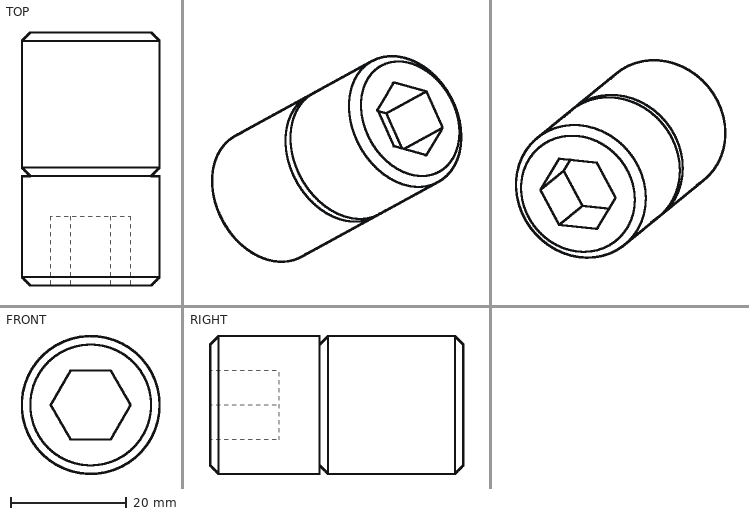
import cadquery as cq
import math

total_length = 44.0
diameter = 24.0
chamfer = 1.5

screw_length = 19.0
socket_across_flats = 12.0
socket_depth = 12.0

plug_length = total_length - screw_length

front_y = -total_length / 2
joint_y = front_y + screw_length


def cylinder_along_y(start_y, length):
    """Cylinder on the Y axis, running from start_y towards +Y."""
    plane = cq.Workplane("XZ", origin=(0, start_y, 0))
    return plane.circle(diameter / 2).extrude(-length)


def hexagon_socket():
    """Blind hexagon cutter with two corners on the X axis."""
    across_corners = socket_across_flats / math.cos(math.pi / 6)
    plane = cq.Workplane("XZ", origin=(0, front_y, 0))
    return plane.polygon(6, across_corners).extrude(-socket_depth)


def make_screw():
    """Socket screw, chamfered at the front and flat where it meets the plug."""
    body = cylinder_along_y(front_y, screw_length).faces("<Y").edges().chamfer(chamfer)
    return body.cut(hexagon_socket())


def make_plug():
    """Plain cylindrical plug, chamfered at both ends."""
    body = cylinder_along_y(joint_y, plug_length)
    return body.faces("<Y or >Y").edges().chamfer(chamfer)


screw = make_screw()
plug = make_plug()

result = cq.Compound.makeCompound([screw.val(), plug.val()])